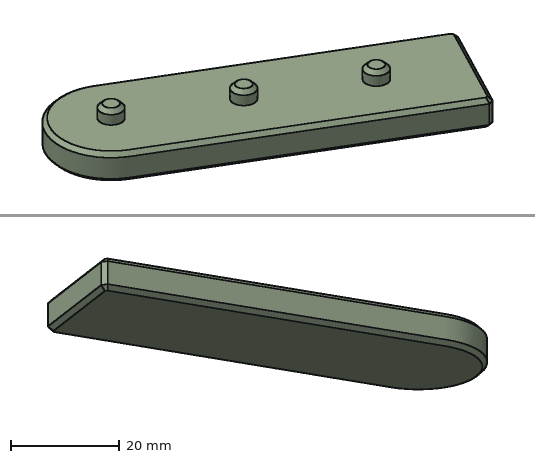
import cadquery as cq

plate_width = 25.4
plate_length = 82.55
plate_thickness = 6.35
edge_chamfer = 0.9
end_radius = plate_width / 2
straight_length = plate_length - end_radius

pin_diameter = 5.1
pin_height = 3.1
pin_chamfer = 0.9
pin_spacing = 25.4
pin_count = 3


def make_plate():
    """Rounded-end plate, origin at the arc centre, with every outer edge chamfered."""
    outline = (
        cq.Workplane("XY")
        .moveTo(end_radius, 0)
        .lineTo(end_radius, straight_length)
        .lineTo(-end_radius, straight_length)
        .lineTo(-end_radius, 0)
        .threePointArc((0, -end_radius), (end_radius, 0))
        .close()
    )
    plate = outline.extrude(plate_thickness)
    back_corners_chamfered = plate.faces(">Y").edges("|Z").chamfer(edge_chamfer)
    return back_corners_chamfered.faces("<Z or >Z").edges().chamfer(edge_chamfer)


def make_pin(y):
    """Pin with a chamfered tip, standing on the plate from its underside plane."""
    pin = cq.Workplane("XY").center(0, y).circle(pin_diameter / 2).extrude(plate_thickness + pin_height)
    return pin.faces(">Z").edges().chamfer(pin_chamfer)


result = make_plate()
for index in range(pin_count):
    result = result.union(make_pin(index * pin_spacing))